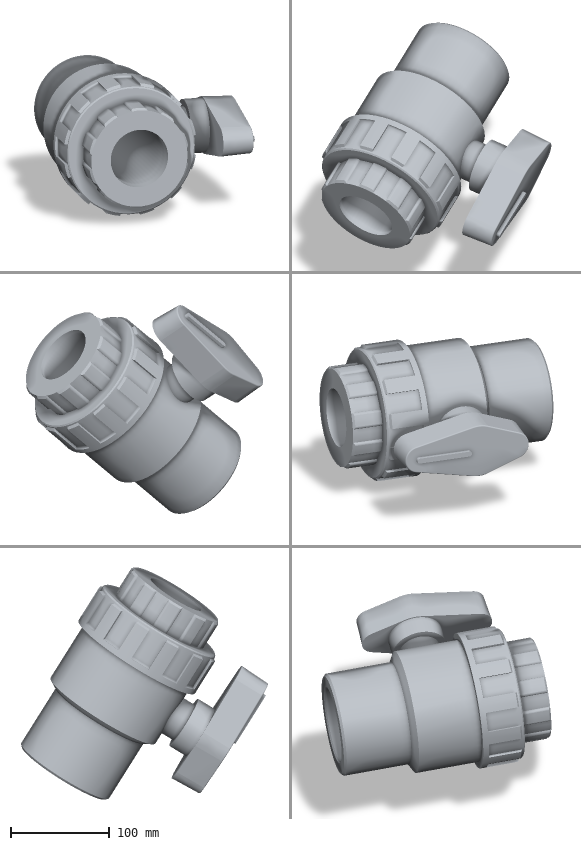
import cadquery as cq
import math


total_length = 215.0
total_height = 201.2
pipe_radius = 105.0 / 2
pipe_chamfer = 2.4
shoulder_start = 69.2
shoulder_end = 75.0
body_radius = 125.1 / 2

bore_radius = 60.0 / 2
socket_radius = 75.0 / 2
socket_depth = 43.9
socket_chamfer = 1.5

nut_start = 140.0
nut_end = 184.0
nut_radius = 139.0 / 2
nut_floor_radius = 133.5 / 2
nut_edge_chamfer = 1.3
nut_recess_count = 12
nut_recess_start = 146.0
nut_recess_width = 20.9
nut_recess_fillet = 2.2
tooth_end = 181.0
tooth_chamfer_length = 1.7

rib_count = 10
rib_tip_width = 11.8
rib_root_width = 16.8
rib_height = 2.2
rib_flank_radius = 3.2
tail_floor_radius = pipe_radius - rib_height

stem_x = 107.5
stem_radius = 41.7 / 2
stem_foot_y = 43.0
cap_radius = 55.7 / 2
cap_bottom_y = 76.0

handle_bottom_y = 95.5
handle_top_y = 127.7
handle_hub_radius = 29.2
handle_tip_radius = 15.7
handle_short_reach = 39.3
handle_long_reach = 64.3
handle_edge_fillet = 1.3
handle_draft = math.degrees(
    math.atan((handle_hub_radius - cap_radius) / (handle_top_y - handle_bottom_y))
)

pointer_start_x = 116.3
pointer_end_x = 174.8
pointer_width = 5.4
pointer_top_y = total_height - nut_radius


def revolve_about_pipe_axis(points):
    """Revolve a closed (X, radius) outline around the pipe axis."""
    return cq.Workplane("XY").polyline(points).close().revolve(360, (0, 0, 0), (1, 0, 0))


def ring_of(shape, count, first_angle):
    """Copies of a shape spread evenly around the pipe axis."""
    step = 360 / count
    ring = cq.Workplane("XY")
    for index in range(count):
        ring = ring.add(shape.rotate((0, 0, 0), (1, 0, 0), first_angle + index * step))
    return ring.combine()


def plane_across_stem(y):
    """Workplane at height y on the stem axis, facing +Y."""
    return cq.Workplane(cq.Plane(origin=(stem_x, y, 0), xDir=(1, 0, 0), normal=(0, 1, 0)))


def make_body():
    """Socket end, cone shoulder and ball chamber, with the plain core of the tail piece."""
    return revolve_about_pipe_axis([
        (0, 0),
        (0, pipe_radius - pipe_chamfer),
        (pipe_chamfer, pipe_radius),
        (shoulder_start, pipe_radius),
        (shoulder_end, body_radius),
        (nut_start, body_radius),
        (nut_start, tail_floor_radius),
        (total_length, tail_floor_radius),
        (total_length, 0),
    ])


def make_nut_recess():
    """Grip recess between two teeth, centred on +Y: parallel sides and a filleted front wall."""
    clearance = 2.2
    sector_angle = 40
    outer_radius = nut_radius + clearance
    recess_end = nut_end + clearance
    arc_offset = nut_recess_fillet * (1 - math.sqrt(0.5))
    groove = (
        cq.Workplane("XY")
        .moveTo(nut_recess_start, outer_radius)
        .lineTo(nut_recess_start, nut_floor_radius + nut_recess_fillet)
        .threePointArc(
            (nut_recess_start + arc_offset, nut_floor_radius + arc_offset),
            (nut_recess_start + nut_recess_fillet, nut_floor_radius),
        )
        .lineTo(recess_end, nut_floor_radius)
        .lineTo(recess_end, outer_radius)
        .close()
        .revolve(sector_angle, (0, 0, 0), (1, 0, 0))
        .rotate((0, 0, 0), (1, 0, 0), -sector_angle / 2)
    )
    slab = cq.Workplane("XY", origin=(nut_start, 0, 0)).box(
        recess_end - nut_start, outer_radius, nut_recess_width, centered=(False, False, True)
    )
    return groove.intersect(slab)


def make_nut():
    nut = revolve_about_pipe_axis([
        (nut_start, 0),
        (nut_start, nut_radius),
        (tooth_end - tooth_chamfer_length, nut_radius),
        (tooth_end, nut_floor_radius),
        (nut_end - nut_edge_chamfer, nut_floor_radius),
        (nut_end, nut_floor_radius - nut_edge_chamfer),
        (nut_end, 0),
    ])
    nut = nut.rotate((0, 0, 0), (1, 0, 0), 180 / nut_recess_count)
    return nut.cut(ring_of(make_nut_recess(), nut_recess_count, 0))


def make_tail_ribs():
    """Ribs with bulging flanks, trimmed to a cylinder whose end is chamfered."""
    inner_radius = tail_floor_radius - rib_height
    outer_radius = pipe_radius + rib_height
    tip_half = rib_tip_width / 2
    tip_edge_radius = math.sqrt(pipe_radius**2 - tip_half**2)
    root_half = rib_root_width / 2
    root_edge_radius = math.sqrt(tail_floor_radius**2 - root_half**2)
    rib = (
        cq.Workplane("YZ", origin=(nut_start, 0, 0))
        .moveTo(inner_radius, -root_half)
        .lineTo(root_edge_radius, -root_half)
        .radiusArc((tip_edge_radius, -tip_half), -rib_flank_radius)
        .lineTo(outer_radius, -tip_half)
        .lineTo(outer_radius, tip_half)
        .lineTo(tip_edge_radius, tip_half)
        .radiusArc((root_edge_radius, root_half), -rib_flank_radius)
        .lineTo(inner_radius, root_half)
        .close()
        .extrude(total_length - nut_start)
    )
    envelope = revolve_about_pipe_axis([
        (nut_start, 0),
        (nut_start, pipe_radius),
        (total_length - rib_height, pipe_radius),
        (total_length, tail_floor_radius),
        (total_length, 0),
    ])
    return ring_of(rib, rib_count, 180 / rib_count).intersect(envelope)


def make_stem():
    stem = plane_across_stem(stem_foot_y).circle(stem_radius).extrude(cap_bottom_y - stem_foot_y)
    cap = plane_across_stem(cap_bottom_y).circle(cap_radius).extrude(handle_bottom_y - cap_bottom_y)
    return stem.union(cap)


def make_handle():
    """Lever: straight sides tangent to the hub circle and to a smaller circle at each tip."""

    def tangent_direction(reach):
        sine = (handle_hub_radius - handle_tip_radius) / reach
        return sine, math.sqrt(1 - sine**2)

    long_sin, long_cos = tangent_direction(handle_long_reach)
    short_sin, short_cos = tangent_direction(handle_short_reach)
    hub_long = (handle_hub_radius * long_sin, handle_hub_radius * long_cos)
    hub_short = (-handle_hub_radius * short_sin, handle_hub_radius * short_cos)
    tip_long = (handle_long_reach + handle_tip_radius * long_sin, handle_tip_radius * long_cos)
    tip_short = (-handle_short_reach - handle_tip_radius * short_sin, handle_tip_radius * short_cos)
    end_long = (handle_long_reach + handle_tip_radius, 0)
    end_short = (-handle_short_reach - handle_tip_radius, 0)
    hub_middle_angle = (math.asin(long_sin) - math.asin(short_sin)) / 2
    hub_middle = (
        handle_hub_radius * math.sin(hub_middle_angle),
        handle_hub_radius * math.cos(hub_middle_angle),
    )

    def mirrored(point):
        return (point[0], -point[1])

    lever = (
        plane_across_stem(handle_bottom_y)
        .moveTo(*tip_short)
        .lineTo(*hub_short)
        .threePointArc(hub_middle, hub_long)
        .lineTo(*tip_long)
        .threePointArc(end_long, mirrored(tip_long))
        .lineTo(*mirrored(hub_long))
        .threePointArc(mirrored(hub_middle), mirrored(hub_short))
        .lineTo(*mirrored(tip_short))
        .threePointArc(end_short, tip_short)
        .close()
        .extrude(handle_top_y - handle_bottom_y, taper=handle_draft)
    )
    return lever.faces(">Y").edges().fillet(handle_edge_fillet)


def make_pointer():
    middle = (pointer_start_x + pointer_end_x) / 2 - stem_x
    return (
        plane_across_stem(handle_top_y)
        .center(middle, 0)
        .slot2D(pointer_end_x - pointer_start_x, pointer_width)
        .extrude(pointer_top_y - handle_top_y)
    )


def make_bore():
    """Through bore that opens into the chamfered pipe socket at X = 0."""
    return revolve_about_pipe_axis([
        (0, 0),
        (0, socket_radius + socket_chamfer),
        (socket_chamfer, socket_radius),
        (socket_depth, socket_radius),
        (socket_depth, bore_radius),
        (total_length, bore_radius),
        (total_length, 0),
    ])


result = (
    make_body()
    .union(make_nut())
    .union(make_tail_ribs())
    .union(make_stem())
    .union(make_handle())
    .union(make_pointer())
    .cut(make_bore())
)